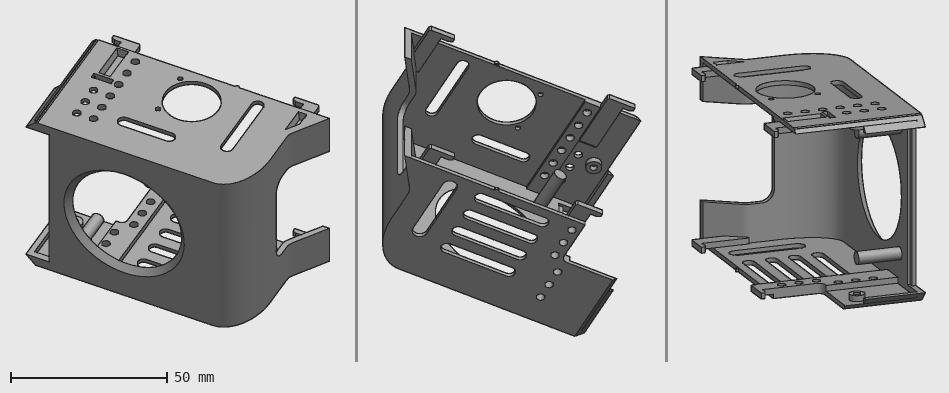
import cadquery as cq
import math

LENGTH = 86.8
HEIGHT = 62.4
PLATE_DEPTH = 43.8
HOOK_REACH = 49.2

SKIN = 1.5
LAYER = 2.0
LAYER_TOP = SKIN + LAYER
FRONT_WALL = 2.3
SIDE_WALL = 2.0
MID_Z = HEIGHT / 2

SIDE_X = 78.5
CORNER_X = 66.7
CORNER_DEPTH = 18.1
FLARE_Y = 31.2
FLARE_RADIUS = 4.7
FLARE_ANGLE = math.atan2(LENGTH - SIDE_X, PLATE_DEPTH - FLARE_Y)

WALL_LEFT = 8.3
RIM_WIDTH = LAYER
RIM_END = 20.5
TOP_FACET_WIDTH = 0.7
TOP_FACET_DROP = 0.3
WALL_LIP = 1.4
WALL_LIP_WIDTH = 2.0

PORT_X = 35.2
PORT_Z = 31.4
PORT_RADIUS = 19.45
PORT_OUTER_RADIUS = 21.5

WINDOW_HEIGHT = 33.6
WINDOW_START = 22.3
WINDOW_RADIUS = 4.25

BAND_LEFT = 18.8
BAND_RIGHT = 28.0
TAB_BACK = 26.8
NOTCH_RADIUS = 2.0

TOP_BAND_LEFT = 16.3
TOP_BAND_RIGHT = 22.0
TOP_BAND_HEIGHT = 1.0

TOP_HOOK = (10.3, 16.5)
BOTTOM_HOOK = (22.0, BAND_RIGHT)
RIGHT_HOOK = (75.6, 80.6)
BARB = 3.5
RIGHT_BARB = 4.0
BARB_THICKNESS = 1.8
BARB_CHAMFER = 1.2
BARB_CHAMFER_DEPTH = 0.6
HOOK_CORNER = 0.5
TOP_BLOCK_FRONT = 29.0
RIGHT_BLOCK_FRONT = 31.4

POCKET_DEPTH = 2.6
POCKET_TAPER = 15
TOP_POCKET = [(11.1, 29.95), (15.2, 29.95), (15.2, 43.0), (11.1, 43.0)]
RIGHT_POCKET = [(76.5, 32.7), (79.45, 37.1), (79.45, 42.1), (76.5, 42.1)]
RELIEF_X = (9.9, 16.85)
RELIEF_Y = (27.1, 29.0)

HOLE_DIAMETER = 2.7
HOLE_PITCH = 6.0
ROWS = 6
BACK_ROWS = 3
FIRST_ROW = 39.85
TOP_COLUMN = 19.3
BOTTOM_BACK_COLUMN = 24.75
BOTTOM_FRONT_COLUMN = 20.75

FAN_X = 43.8
FAN_Y = 31.2
FAN_RADIUS = 9.5
PIN_X = 35.7
PIN_OFFSET = 8.0
PIN_DIAMETER = 1.65
SLOT_WIDTH = 4.1
CROSS_SLOT_X = (26.5, 46.8)
CROSS_SLOT_Y = 13.0

VENT_LEFT = 32.65
VENT_RIGHT = 59.0
VENT_WIDTH = 4.0
VENT_PITCH = 7.9
FIRST_VENT = 38.6
VENTS = 4

LONG_SLOT_Y = (15.0, 41.0)
TOP_LONG_SLOT_X = 63.5
BOTTOM_LONG_SLOT_X = 68.0
BOTTOM_LONG_SLOT_WIDTH = 4.95

POST_X = 17.3
POST_END = 17.0
POST_DIAMETER = 4.25
POST_HEIGHTS = (12.0, 54.3)
BOSS_X = 7.2
BOSS_Y = 20.75
BOSS_DIAMETER = 5.1
BOSS_BORE = 2.35
BUMP_X = 53.75
BUMP_WIDTH = 1.6
BUMP_REACH = 0.6
BUMP_HEIGHT = 1.0

EXTRA = 4.3


def box(x, y, z):
    """Box from (low, high) pairs along each axis."""
    size = (x[1] - x[0], y[1] - y[0], z[1] - z[0])
    return cq.Workplane("XY").box(*size, centered=False).translate((x[0], y[0], z[0]))


def mirrored(shape):
    """The same shape on the opposite plate."""
    return shape.mirror("XY", (0, 0, MID_Z))


def plan(left, back, front_wall, side_wall, z):
    """Prism of the plan outline, moved inward by the given wall thicknesses."""
    tangent = math.tan(FLARE_ANGLE / 2)
    side_x = SIDE_X - side_wall
    bend_y = FLARE_Y + side_wall * tangent
    run = FLARE_RADIUS * tangent
    bend_end = (side_x + run * math.sin(FLARE_ANGLE), bend_y + run * math.cos(FLARE_ANGLE))
    middle = (
        side_x + FLARE_RADIUS * (1 - math.cos(FLARE_ANGLE / 2)),
        bend_y - run + FLARE_RADIUS * math.sin(FLARE_ANGLE / 2),
    )
    flare_x = side_x + (back - bend_y) * math.tan(FLARE_ANGLE)
    semi_x = side_x - CORNER_X
    return (
        cq.Workplane("XY", origin=(0, 0, z[0]))
        .moveTo(left, back)
        .lineTo(left, front_wall)
        .lineTo(CORNER_X, front_wall)
        .ellipseArc(semi_x, CORNER_DEPTH, 270, 360, startAtCurrent=True)
        .lineTo(side_x, bend_y - run)
        .threePointArc(middle, bend_end)
        .lineTo(flare_x, back)
        .close()
        .extrude(z[1] - z[0])
    )


def slot_x(x, y, width, z):
    """Round-ended slot along X between two end positions."""
    return (
        cq.Workplane("XY", origin=((x[0] + x[1]) / 2, y, z[0]))
        .slot2D(x[1] - x[0], width)
        .extrude(z[1] - z[0])
    )


def slot_y(x, y, width, z):
    """Round-ended slot along Y between two end positions."""
    return (
        cq.Workplane("XY", origin=(x, (y[0] + y[1]) / 2, z[0]))
        .slot2D(y[1] - y[0], width, 90)
        .extrude(z[1] - z[0])
    )


def round_holes(points, diameter, z):
    return (
        cq.Workplane("XY", origin=(0, 0, z[0]))
        .pushPoints(points)
        .circle(diameter / 2)
        .extrude(z[1] - z[0])
    )


def hook(stem, front, barb):
    """Hook lying in the raised layer of the bottom plate."""
    left, right = stem
    inner = HOOK_REACH - BARB_THICKNESS
    return (
        cq.Workplane("XY", origin=(0, 0, SKIN))
        .moveTo(left, front)
        .lineTo(right, front)
        .lineTo(right, HOOK_REACH - HOOK_CORNER)
        .lineTo(right - HOOK_CORNER, HOOK_REACH)
        .lineTo(left - barb, HOOK_REACH)
        .lineTo(left - barb, inner + BARB_CHAMFER_DEPTH)
        .lineTo(left - barb + BARB_CHAMFER, inner)
        .lineTo(left, inner)
        .close()
        .extrude(LAYER)
    )


def pocket(corners):
    """Tapered pocket sunk from the top face."""
    return (
        cq.Workplane("XY", origin=(0, 0, HEIGHT))
        .polyline(corners)
        .close()
        .extrude(-POCKET_DEPTH, taper=POCKET_TAPER)
    )


def boss():
    return (
        cq.Workplane("XY", origin=(BOSS_X, BOSS_Y, SKIN))
        .circle(BOSS_DIAMETER / 2)
        .circle(BOSS_BORE / 2)
        .extrude(LAYER)
    )


def bump():
    """Snap bump on the back edge of the bottom plate."""
    half = BUMP_WIDTH / 2
    return (
        cq.Workplane("XY")
        .moveTo(BUMP_X - half, PLATE_DEPTH)
        .threePointArc((BUMP_X, PLATE_DEPTH + BUMP_REACH), (BUMP_X + half, PLATE_DEPTH))
        .close()
        .extrude(BUMP_HEIGHT)
    )


FULL_Z = (0, HEIGHT)
shell = plan(0, PLATE_DEPTH, 0, 0, FULL_Z)
shell = shell.cut(plan(-EXTRA, PLATE_DEPTH + EXTRA, FRONT_WALL, SIDE_WALL, (SKIN, HEIGHT - SKIN)))
bay_z = (LAYER_TOP, HEIGHT - LAYER_TOP)
shell = shell.cut(box((-EXTRA, WALL_LEFT), (-EXTRA, PLATE_DEPTH), bay_z))
shell = shell.cut(box((WALL_LEFT, WALL_LEFT + WALL_LIP_WIDTH), (WALL_LIP, FRONT_WALL), bay_z))

notch = box((-EXTRA, BOTTOM_HOOK[0]), (TAB_BACK, PLATE_DEPTH + EXTRA), (-EXTRA, LAYER_TOP + EXTRA))
notch = notch.edges("|Z and >X and <Y").fillet(NOTCH_RADIUS)
band = box((BAND_LEFT, BAND_RIGHT), (FRONT_WALL, PLATE_DEPTH), (SKIN, LAYER_TOP))
shell = shell.union(band).cut(notch)

shell = shell.union(
    box(
        (TOP_BAND_LEFT, TOP_BAND_RIGHT),
        (FRONT_WALL, PLATE_DEPTH),
        (HEIGHT - SKIN - TOP_BAND_HEIGHT, HEIGHT - SKIN),
    )
)

right_hook = hook(RIGHT_HOOK, RIGHT_BLOCK_FRONT, RIGHT_BARB)
right_hook = right_hook.intersect(plan(0, HOOK_REACH, 0, 0, FULL_Z))
shell = shell.union(right_hook).union(mirrored(right_hook))
shell = shell.union(hook(BOTTOM_HOOK, TAB_BACK + NOTCH_RADIUS, BARB))
shell = shell.union(mirrored(hook(TOP_HOOK, TOP_BLOCK_FRONT, BARB)))

rim = box((0, RIM_WIDTH), (0, RIM_END), (0, LAYER_TOP))
for detail in (rim, boss(), bump()):
    shell = shell.union(detail).union(mirrored(detail))

for post_z in POST_HEIGHTS:
    shell = shell.union(
        cq.Workplane("XZ", origin=(POST_X, FRONT_WALL / 2, post_z))
        .circle(POST_DIAMETER / 2)
        .extrude(FRONT_WALL / 2 - POST_END)
    )

bevel = (
    cq.Workplane("XZ")
    .polyline([(0, LAYER_TOP), (LAYER_TOP, 0), (0, 0)])
    .close()
    .extrude(-PLATE_DEPTH)
)

facet = (
    cq.Workplane("XZ")
    .polyline([
        (0, HEIGHT - TOP_FACET_DROP),
        (LAYER_TOP, HEIGHT - TOP_FACET_DROP),
        (LAYER_TOP + TOP_FACET_WIDTH, HEIGHT),
        (0, HEIGHT),
    ])
    .close()
    .extrude(-PLATE_DEPTH)
)
shell = shell.cut(bevel).cut(mirrored(bevel)).cut(facet)

port = cq.Workplane(
    cq.Solid.makeCone(
        PORT_OUTER_RADIUS, PORT_RADIUS, FRONT_WALL, cq.Vector(PORT_X, 0, PORT_Z), cq.Vector(0, 1, 0)
    )
)
shell = shell.cut(port)

window = box(
    (CORNER_X, LENGTH + EXTRA),
    (WINDOW_START, PLATE_DEPTH + EXTRA),
    (MID_Z - WINDOW_HEIGHT / 2, MID_Z + WINDOW_HEIGHT / 2),
)
shell = shell.cut(window.edges("|X and <Y").fillet(WINDOW_RADIUS))

TOP_CUT = (HEIGHT - LAYER_TOP, HEIGHT + EXTRA)
rows = [FIRST_ROW - HOLE_PITCH * row for row in range(ROWS)]
front_rows = rows[BACK_ROWS:]
top_holes = [(TOP_COLUMN, y) for y in rows]
top_holes += [(TOP_COLUMN - HOLE_PITCH, y) for y in front_rows]
pins = [(PIN_X, FAN_Y + PIN_OFFSET), (PIN_X, FAN_Y - PIN_OFFSET)]
shell = shell.cut(round_holes(top_holes, HOLE_DIAMETER, TOP_CUT))
shell = shell.cut(round_holes(pins, PIN_DIAMETER, TOP_CUT))
shell = shell.cut(round_holes([(FAN_X, FAN_Y)], 2 * FAN_RADIUS, TOP_CUT))
shell = shell.cut(slot_x(CROSS_SLOT_X, CROSS_SLOT_Y, SLOT_WIDTH, TOP_CUT))
shell = shell.cut(slot_y(TOP_LONG_SLOT_X, LONG_SLOT_Y, SLOT_WIDTH, TOP_CUT))
shell = shell.cut(box(RELIEF_X, RELIEF_Y, (HEIGHT - SKIN, HEIGHT)))
shell = shell.cut(pocket(TOP_POCKET)).cut(pocket(RIGHT_POCKET))

BOTTOM_CUT = (-EXTRA, LAYER_TOP)
bottom_holes = [(BOTTOM_BACK_COLUMN, y) for y in rows[:BACK_ROWS]]
bottom_holes += [(BOTTOM_FRONT_COLUMN, y) for y in front_rows]
shell = shell.cut(round_holes(bottom_holes, HOLE_DIAMETER, BOTTOM_CUT))
for vent in range(VENTS):
    vent_y = FIRST_VENT - VENT_PITCH * vent
    shell = shell.cut(slot_x((VENT_LEFT, VENT_RIGHT), vent_y, VENT_WIDTH, BOTTOM_CUT))
shell = shell.cut(slot_y(BOTTOM_LONG_SLOT_X, LONG_SLOT_Y, BOTTOM_LONG_SLOT_WIDTH, BOTTOM_CUT))

result = shell